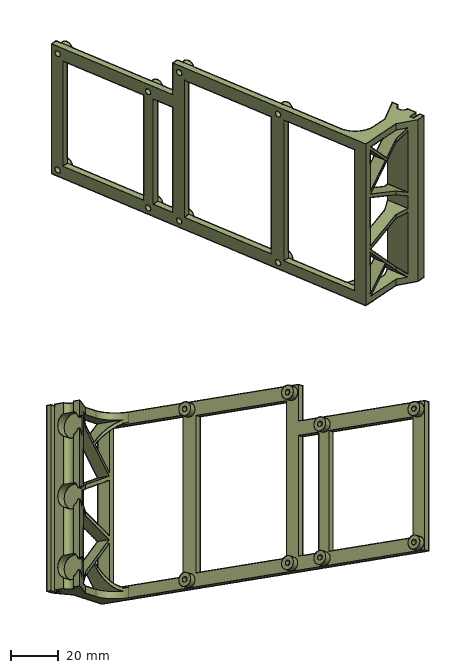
import cadquery as cq
import math

length = 173.0
depth = 32.7
height = 80.0
mid_z = height / 2

plate_thickness = 3.1
step_x = 64.7
step_z = 64.2
end_bar = 6.0
bottom_bar = 6.0
last_bottom_bar = 5.2
low_window_top = 58.0
high_window_top = 73.7
last_window_top = 74.8

web_left = 161.8
web_right = 167.9
inner_radius = 9.9
fillet_top = plate_thickness + inner_radius
flare_start_y = 20.5
head_left = 156.1
lip_height = 4.2

frame_windows = [
    (end_bar, 49.2, bottom_bar, low_window_top),
    (54.3, step_x, bottom_bar, low_window_top),
    (71.0, 117.3, bottom_bar, high_window_top),
    (124.1, web_left, last_bottom_bar, last_window_top),
]

boss_diameter = 6.0
boss_height = 3.1
boss_top_y = plate_thickness + boss_height
frame_hole_diameter = 2.8
boss_hole_diameter = 2.2
boss_bottom_z = 3.1
boss_places = [
    (3.3, 60.5),
    (51.5, 60.5),
    (68.2, 76.5),
    (121.0, 76.5),
]

side_wall = 3.1
opening_end_y = 25.0

struts = [
    ((plate_thickness, 14.4), (opening_end_y, 36.2), 1.2),
    ((plate_thickness, 12.8), (opening_end_y, 4.0), 1.7),
    ((plate_thickness, 36.3), (13.7, 25.8), 1.2),
]
strut_overlap = 0.5
unfilleted_half_height = 25.5

rod_groove_x = 161.8
rod_groove_diameter = 5.0
slot_left = 169.0
slot_right = 170.8
slot_depth = 4.2
pocket_diameter = 11.0
pocket_depth = 4.7
pocket_pitch = 30.5
mouth_diameter = 6.0
mouth_x = 154.9


def box(x0, x1, y0, y1, z0, z1):
    """Block between two opposite corners."""
    return cq.Workplane("XY").box(x1 - x0, y1 - y0, z1 - z0, centered=False).translate((x0, y0, z0))


def round_bar(diameter, x, z, y0, y1):
    """Round bar along Y, centred at (x, z)."""
    return cq.Workplane("XZ", origin=(x, y0, z)).circle(diameter / 2).extrude(y0 - y1)


def make_bracket():
    """Upright web with a round inner corner and a flared head, over the full height."""
    fillet_left = web_left - inner_radius
    arc_offset = inner_radius * math.sqrt(0.5)
    arc_middle = (fillet_left + arc_offset, fillet_top - arc_offset)
    return (
        cq.Workplane("XY")
        .moveTo(step_x, 0)
        .lineTo(web_right, 0)
        .lineTo(web_right, flare_start_y)
        .lineTo(length, depth - lip_height)
        .lineTo(length, depth)
        .lineTo(head_left, depth)
        .lineTo(web_left, flare_start_y)
        .lineTo(web_left, fillet_top)
        .threePointArc(arc_middle, (fillet_left, plate_thickness))
        .lineTo(step_x, plate_thickness)
        .close()
        .extrude(height)
    )


def make_strut(start, end, width):
    """Straight bar between two points, running along X past the whole bracket."""
    dy = end[0] - start[0]
    dz = end[1] - start[1]
    bar_length = math.hypot(dy, dz) + 2 * strut_overlap
    bar = cq.Workplane("XY").box(length, bar_length, width)
    bar = bar.rotate((0, 0, 0), (1, 0, 0), math.degrees(math.atan2(dz, dy)))
    return bar.translate((length / 2, (start[0] + end[0]) / 2, mid_z + (start[1] + end[1]) / 2))


def make_opening_cut():
    """Side opening minus its struts, with the inner fillet taken off the middle struts."""
    opening = box(0, length, plate_thickness, opening_end_y, side_wall, height - side_wall)
    for start, end, width in struts:
        upper = make_strut(start, end, width)
        lower = upper.mirror("XY", (0, 0, mid_z))
        opening = opening.cut(upper).cut(lower)
    fillet_removal = box(
        0, web_left, plate_thickness, fillet_top,
        mid_z - unfilleted_half_height, mid_z + unfilleted_half_height,
    )
    return opening.union(fillet_removal)


result = make_bracket().cut(make_opening_cut())
result = result.union(box(0, step_x, 0, plate_thickness, 0, step_z))

for left, right, bottom, top in frame_windows:
    result = result.cut(box(left, right, 0, plate_thickness, bottom, top))

for x, top_z in boss_places:
    for z in (boss_bottom_z, top_z):
        result = result.union(round_bar(boss_diameter, x, z, 0, boss_top_y))
        result = result.cut(round_bar(frame_hole_diameter, x, z, 0, plate_thickness))
        result = result.cut(round_bar(boss_hole_diameter, x, z, plate_thickness, boss_top_y))

rod_groove = cq.Workplane("XY").center(rod_groove_x, depth).circle(rod_groove_diameter / 2).extrude(height)
result = result.cut(rod_groove)
result = result.cut(box(slot_left, slot_right, depth - slot_depth, depth, 0, height))

for offset in (-pocket_pitch, 0, pocket_pitch):
    for diameter, x in ((pocket_diameter, rod_groove_x), (mouth_diameter, mouth_x)):
        result = result.cut(round_bar(diameter, x, mid_z + offset, depth - pocket_depth, depth))